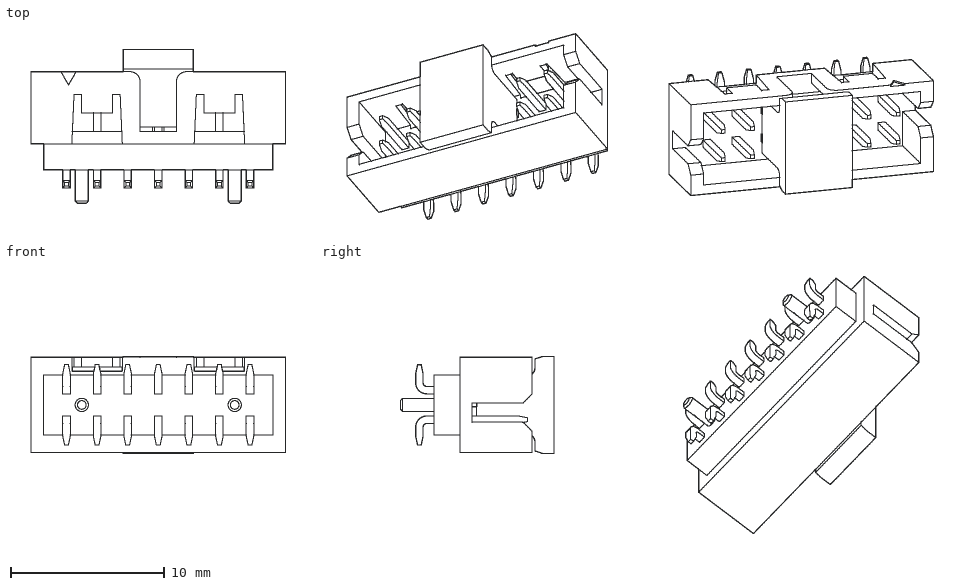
import cadquery as cq


shell_length = 16.65
shell_height = 6.25
base_length = 14.98
base_height = 3.95
base_depth = 1.7
shell_back = 6.41
end_wall = 0.88
side_wall = 0.65
cavity_floor = 2.5
cavity_length = shell_length - 2 * end_wall
cavity_height = shell_height - 2 * side_wall
shell_top = shell_height / 2

key_slot_height = 1.23
key_slot_center = 0.5
key_slot_chamfer = 0.6

window_spacing = 8.0
window_front_width = 3.3
window_back_width = 3.01
window_back = 4.91
window_sill = 2.21
tongue_width = 2.01
tongue_tip = 3.71

opening_width = 2.36
opening_flare = 0.67

mark_center = -5.86
mark_width = 1.0
mark_length = 0.87
mark_depth = 0.1

pin_count = 7
pin_pitch = 2.0
pin_row = 0.97
pin_size = 0.5
pin_tip_size = 0.25
pin_tip_length = 0.6
pin_end = 6.11
leg_front = -1.2
leg_reach = 2.63
bend_inner_radius = 0.23
bend_outer_radius = bend_inner_radius + pin_size

peg_spacing = 9.99
peg_radius = 0.43
peg_length = 2.2
peg_chamfer = 0.15

cap_width = 4.58
cap_height = 6.35
cap_back = 7.86
cap_front = 2.8
cap_head_front = 6.6
cap_fillet = 0.5
cap_body_height = 3.83
cap_edge_height = 6.03
cap_slope_length = 0.5
cap_foot_width = 0.77
cap_foot_inner = 0.13
cap_foot_outer = pin_row


def box(x_range, y_range, z_range):
    """Block spanning the given (low, high) ranges."""
    lows, highs = zip(x_range, y_range, z_range)
    sizes = [high - low for low, high in zip(lows, highs)]
    return cq.Workplane("XY").box(*sizes, centered=False).translate(lows)


def centered(size):
    return (-size / 2, size / 2)


def make_housing():
    base = box(centered(base_length), (0, cavity_floor), centered(base_height))
    shell = box(centered(shell_length), (base_depth, shell_back), centered(shell_height))
    cavity = box(centered(cavity_length), (cavity_floor, shell_back), centered(cavity_height))
    return shell.cut(cavity).union(base)


def make_key_slot():
    """Slot through the -X end wall with a chamfered mouth at the open back."""
    low = key_slot_center - key_slot_height / 2
    high = key_slot_center + key_slot_height / 2
    throat = shell_back - key_slot_chamfer
    profile = [
        (cavity_floor, low),
        (throat, low),
        (shell_back, low - key_slot_chamfer),
        (shell_back, high + key_slot_chamfer),
        (throat, high),
        (cavity_floor, high),
    ]
    outer_face = cq.Workplane("YZ", origin=(-shell_length / 2, 0, 0))
    return outer_face.polyline(profile).close().extrude(end_wall)


def make_window(center):
    """Tapered window with a tongue reaching in from the back and a low sill in front."""
    outline = [
        (center - window_front_width / 2, base_depth),
        (center + window_front_width / 2, base_depth),
        (center + window_back_width / 2, window_back),
        (center + tongue_width / 2, window_back),
        (center + tongue_width / 2, tongue_tip),
        (center - tongue_width / 2, tongue_tip),
        (center - tongue_width / 2, window_back),
        (center - window_back_width / 2, window_back),
    ]
    depth = shell_top - window_sill
    return cq.Workplane("XY", origin=(0, 0, window_sill)).polyline(outline).close().extrude(depth)


def make_middle_opening():
    """Straight-sided opening whose mouth flares out in two quarter arcs."""
    half = opening_width / 2
    flare_start = shell_back - opening_flare
    bottom = shell_top - side_wall
    return (
        cq.Workplane("XY", origin=(0, 0, bottom))
        .moveTo(-half, cavity_floor)
        .lineTo(half, cavity_floor)
        .lineTo(half, flare_start)
        .radiusArc((half + opening_flare, shell_back), opening_flare)
        .lineTo(-half - opening_flare, shell_back)
        .radiusArc((-half, flare_start), opening_flare)
        .close()
        .extrude(side_wall)
    )


def make_pin_one_mark():
    outline = [
        (mark_center - mark_width / 2, shell_back),
        (mark_center + mark_width / 2, shell_back),
        (mark_center, shell_back - mark_length),
    ]
    bottom = shell_top - mark_depth
    return cq.Workplane("XY", origin=(0, 0, bottom)).polyline(outline).close().extrude(mark_depth)


def make_tip(plane):
    """Pyramid point growing along the normal of the given plane."""
    return (
        cq.Workplane(plane)
        .rect(pin_size, pin_size)
        .workplane(offset=pin_tip_length)
        .rect(pin_tip_size, pin_tip_size)
        .loft()
    )


def make_pin():
    """Upper-row pin at X = 0: straight contact inside, leg bent upward outside."""
    low = pin_row - pin_size / 2
    high = pin_row + pin_size / 2
    leg_back = leg_front + pin_size
    contact_end = pin_end - pin_tip_length
    leg_end = leg_reach - pin_tip_length
    bar = (
        cq.Workplane("YZ")
        .moveTo(contact_end, low)
        .lineTo(leg_front + bend_outer_radius, low)
        .radiusArc((leg_front, low + bend_outer_radius), bend_outer_radius)
        .lineTo(leg_front, leg_end)
        .lineTo(leg_back, leg_end)
        .lineTo(leg_back, high + bend_inner_radius)
        .radiusArc((leg_back + bend_inner_radius, high), -bend_inner_radius)
        .lineTo(contact_end, high)
        .close()
        .extrude(pin_size / 2, both=True)
    )
    contact_plane = cq.Plane(origin=(0, contact_end, pin_row), xDir=(1, 0, 0), normal=(0, 1, 0))
    leg_plane = cq.Plane(origin=(0, leg_front + pin_size / 2, leg_end))
    return bar.union(make_tip(contact_plane)).union(make_tip(leg_plane))


def make_peg(center):
    return (
        cq.Workplane("XZ", origin=(center, 0, 0))
        .circle(peg_radius)
        .extrude(peg_length)
        .faces("<Y")
        .chamfer(peg_chamfer)
    )


def make_cap():
    """T-shaped cap: wide head outside the shell, body between its walls, feet on the floor."""
    body = cap_body_height / 2
    edge = cap_edge_height / 2
    top = cap_height / 2
    slope_end = cap_head_front + cap_slope_length
    fillet_start = cap_head_front - cap_fillet
    upper_half = (
        cq.Workplane("YZ")
        .moveTo(cap_front, 0)
        .lineTo(cap_front, body)
        .lineTo(fillet_start, body)
        .radiusArc((cap_head_front, body + cap_fillet), -cap_fillet)
        .lineTo(cap_head_front, edge)
        .lineTo(slope_end, top)
        .lineTo(cap_back, top)
        .lineTo(cap_back, 0)
        .close()
        .extrude(cap_width / 2, both=True)
    )
    foot = box(centered(cap_foot_width), (cavity_floor, cap_front), (cap_foot_inner, cap_foot_outer))
    upper_half = upper_half.union(foot)
    return upper_half.union(upper_half.mirror("XY"))


result = make_housing().cut(make_middle_opening()).cut(make_pin_one_mark())

key_slot = make_key_slot()
result = result.cut(key_slot)
result = result.cut(key_slot.rotate((0, 0, 0), (0, 1, 0), 180))

for side in (-1, 1):
    result = result.cut(make_window(side * window_spacing / 2))
    result = result.union(make_peg(side * peg_spacing / 2))

result = result.union(make_cap())

upper_pin = make_pin()
lower_pin = upper_pin.mirror("XY")
for index in range(pin_count):
    pin_x = (index - (pin_count - 1) / 2) * pin_pitch
    for pin in (upper_pin, lower_pin):
        result = result.union(pin.translate((pin_x, 0, 0)))